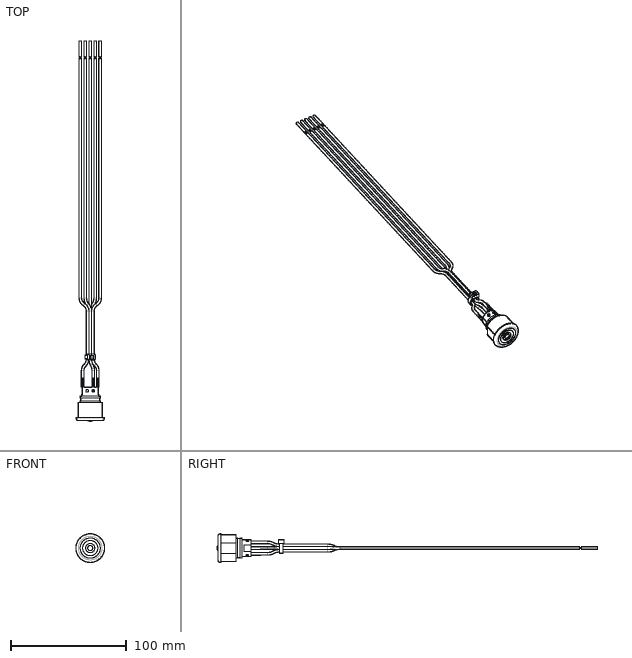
import cadquery as cq


total_length = 329.2

flange_radius = 25.0 / 2
flange_face_radius = 20.5 / 2
body_radius = 23.5 / 2
flat_distance = 10.2
flat_width = 9.2
collar_radius = 17.5 / 2
neck_radius = 14.8 / 2
face_y = 0.5
flange_end = 3.3
body_end = 16.5
collar_end = 21.7
neck_end = 29.5

face_groove_radii = (17.5 / 2, 13.2 / 2)
face_groove_depth = 0.3
button_recess_radius = 4.0
button_recess_depth = 1.0
button_radius = 2.2

collar_groove = (17.8, 20.0)
collar_groove_depth = 0.3
side_recess_width = 5.5
side_recess_length = 6.3
side_recess_depth = 0.3
lock_hole_diameter = 2.2
lock_hole_depth = 1.5
lock_hole_x = 2.5
lock_hole_y = 26.5

wire_radius = 2.4 / 2
core_radius = 1.1 / 2
bundle_pitch = 2.37
head_bend = (43.8, 53.5)
fan_bend = (95.5, 106.5)
fan_pitch = 4.3
tip_length = 13.8
core_gap = 1.5
terminal_x = 6.5
inner_x = 2.5
inner_z = 5.0

blade_height = 2.5
blade_thickness = 0.5
blade_end = 37.5

tie_radius = 4.5
tie_inner_radius = 3.3
tie_start = 54.0
tie_width = 3.3
tie_lock_size = (6.5, 5.0, 3.5)
tie_lock_center = (1.0, 55.5, 5.5)
strap_slot_size = (3.3, 3.0)
strap_slot_depth = 1.5
strap_end_size = (1.3, 3.0)
strap_end_drop = 0.3


def disc(radius, start, end):
    """Cylinder around the Y axis from start to end."""
    return cq.Workplane("XZ", origin=(0, start, 0)).circle(radius).extrude(start - end)


def ring(outer, inner, start, end):
    """Tube around the Y axis, given by its two radii and two ends."""
    return disc(outer, start, end).cut(disc(inner, start, end))


def switch():
    """Stepped body from the rounded front flange to the neck, without its button."""
    flange_round = flange_radius - flange_face_radius
    flange = disc(flange_radius, face_y, flange_end).edges("<Y").fillet(flange_round)
    shape = flange.union(disc(body_radius, flange_end, body_end).cut(body_flats()))
    shape = shape.union(disc(collar_radius, body_end, collar_end))
    shape = shape.union(disc(neck_radius, collar_end, neck_end))

    shape = shape.cut(ring(*face_groove_radii, face_y, face_y + face_groove_depth))
    groove_floor = collar_radius - collar_groove_depth
    shape = shape.cut(ring(collar_radius, groove_floor, *collar_groove))
    return shape.cut(side_recesses()).cut(lock_holes())


def body_flats():
    """Material to remove from the body for a flat-bottomed recess on each X side."""
    depth = body_radius - flat_distance
    length = body_end - flange_end
    place = flat_distance + depth / 2
    return (
        cq.Workplane("XY", origin=(0, flange_end + length / 2, 0))
        .pushPoints([(-place, 0), (place, 0)])
        .box(depth, length, flat_width)
    )


def button():
    """Domed button whose crown is the frontmost point of the part, at Y = 0."""
    floor_y = face_y + button_recess_depth
    return (
        cq.Workplane("XY")
        .moveTo(0, 0)
        .threePointArc((button_radius / 2, face_y / 4), (button_radius, face_y))
        .lineTo(button_radius, floor_y)
        .lineTo(0, floor_y)
        .close()
        .revolve(360, (0, 0, 0), (0, 1, 0))
    )


def side_recesses():
    """Shallow recesses at the rear of the neck, on both X sides."""
    shell = ring(neck_radius, neck_radius - side_recess_depth, neck_end - side_recess_length, neck_end)
    band = cq.Workplane("XY").box(2 * flange_radius, 2 * total_length, side_recess_width)
    return shell.intersect(band)


def lock_holes():
    """Two blind holes in the top of the neck and two in the bottom."""
    holes = cq.Workplane("XY")
    for side in (-1, 1):
        floor_z = side * (neck_radius - lock_hole_depth)
        holes = holes.union(
            cq.Workplane("XY", origin=(0, lock_hole_y, floor_z))
            .pushPoints([(-lock_hole_x, 0), (lock_hole_x, 0)])
            .circle(lock_hole_diameter / 2)
            .extrude(side * 2 * lock_hole_depth)
        )
    return holes


def s_bend(start, end):
    """Two equal arcs that shift a line running along Y from start to end."""
    middle = (start + end) / 2
    along = cq.Vector(0, 1, 0)
    first = cq.Edge.makeTangentArc(start, along, middle)
    second = cq.Edge.makeTangentArc(middle, first.tangentAt(1), end)
    return [first, second]


def wire(terminal, bundled, fanned):
    """One wire through its (x, z) places at the terminal, in the bundle and in the fan."""
    def point(place, y):
        return cq.Vector(place[0], y, place[1])

    stops = [
        (point(terminal, neck_end), point(terminal, head_bend[0])),
        (point(bundled, head_bend[1]), point(bundled, fan_bend[0])),
        (point(fanned, fan_bend[1]), point(fanned, total_length - tip_length - core_gap)),
    ]
    edges = []
    for start, end in stops:
        if edges:
            previous = edges[-1].endPoint()
            shifted = abs(previous.x - start.x) + abs(previous.z - start.z) > 0
            edges += s_bend(previous, start) if shifted else [cq.Edge.makeLine(previous, start)]
        edges.append(cq.Edge.makeLine(start, end))
    path = cq.Workplane(cq.Wire.assembleEdges(edges))
    section = cq.Workplane("XZ", origin=stops[0][0].toTuple()).circle(wire_radius)
    insulation = section.sweep(path)

    x, z = fanned
    tip = disc(wire_radius, total_length - tip_length, total_length)
    core = disc(core_radius, total_length - tip_length - 2 * core_gap, total_length)
    return insulation.union(tip.union(core).translate((x, 0, z)))


def blade(place):
    """Terminal blade at an (x, z) place, rooted in the neck."""
    length = blade_end - collar_end
    center = (place[0], collar_end + length / 2, place[1])
    return cq.Workplane("XY", origin=center).box(blade_thickness, length, blade_height)


def cable_tie():
    """Band around the bundle, with a lock on top that holds the strap end in its slot."""
    band = ring(tie_radius, tie_inner_radius, tie_start, tie_start + tie_width)
    lock = cq.Workplane("XY", origin=tie_lock_center).box(*tie_lock_size)
    top = lock.faces(">Z").workplane()
    lock = top.rect(*strap_slot_size).cutBlind(-strap_slot_depth)
    strap_end = top.workplane(offset=-strap_slot_depth).rect(*strap_end_size)
    lock = lock.union(strap_end.extrude(strap_slot_depth - strap_end_drop, combine=False))
    return band.union(lock)


wires = [
    ((-terminal_x, 0), (-bundle_pitch, 0), (-2 * fan_pitch, 0)),
    ((inner_x, inner_z), (0, bundle_pitch), (-fan_pitch, 0)),
    ((inner_x, 0), (0, 0), (0, 0)),
    ((inner_x, -inner_z), (0, -bundle_pitch), (fan_pitch, 0)),
    ((terminal_x, 0), (bundle_pitch, 0), (2 * fan_pitch, 0)),
]

result = switch()
result = result.cut(disc(button_recess_radius, face_y, face_y + button_recess_depth))
result = result.union(button())
for terminal, bundled, fanned in wires:
    result = result.union(wire(terminal, bundled, fanned))
    result = result.union(blade(terminal))
result = result.union(cable_tie())